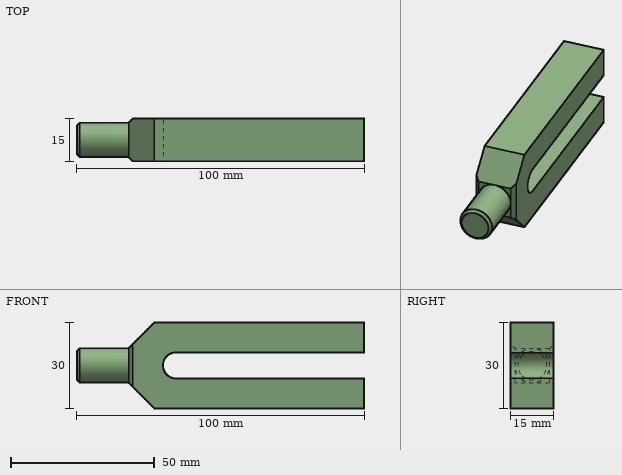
import cadquery as cq

length = 100.0
thickness = 15.0
height = 30.0

pin_diameter = 12.0
pin_length = 18.0
pin_chamfer = 1.0

slot_width = 9.0
slot_start = 30.0

side_taper = (thickness - pin_diameter) / 2
height_taper = (height - pin_diameter) / 2


def make_body():
    """Block tapered at 45 degrees on all four sides down to the pin shoulder."""
    half_height = height / 2
    half_shoulder = pin_diameter / 2
    half_thickness = thickness / 2
    side_outline = (
        cq.Workplane("XZ")
        .moveTo(pin_length, half_shoulder)
        .lineTo(pin_length + height_taper, half_height)
        .lineTo(length, half_height)
        .lineTo(length, -half_height)
        .lineTo(pin_length + height_taper, -half_height)
        .lineTo(pin_length, -half_shoulder)
        .close()
        .extrude(half_thickness, both=True)
    )
    plan_outline = (
        cq.Workplane("XY")
        .moveTo(pin_length, half_shoulder)
        .lineTo(pin_length + side_taper, half_thickness)
        .lineTo(length, half_thickness)
        .lineTo(length, -half_thickness)
        .lineTo(pin_length + side_taper, -half_thickness)
        .lineTo(pin_length, -half_shoulder)
        .close()
        .extrude(half_height, both=True)
    )
    return side_outline.intersect(plan_outline)


def make_pin():
    """Round pin with a chamfered free end."""
    return (
        cq.Workplane("YZ")
        .circle(pin_diameter / 2)
        .extrude(pin_length)
        .faces("<X")
        .chamfer(pin_chamfer)
    )


def make_slot():
    """Cutter for the slot between the two fork arms."""
    radius = slot_width / 2
    arc_center = slot_start + radius
    return (
        cq.Workplane("XZ")
        .moveTo(length, radius)
        .lineTo(arc_center, radius)
        .threePointArc((slot_start, 0), (arc_center, -radius))
        .lineTo(length, -radius)
        .close()
        .extrude(thickness / 2, both=True)
    )


result = make_body().cut(make_slot()).union(make_pin())